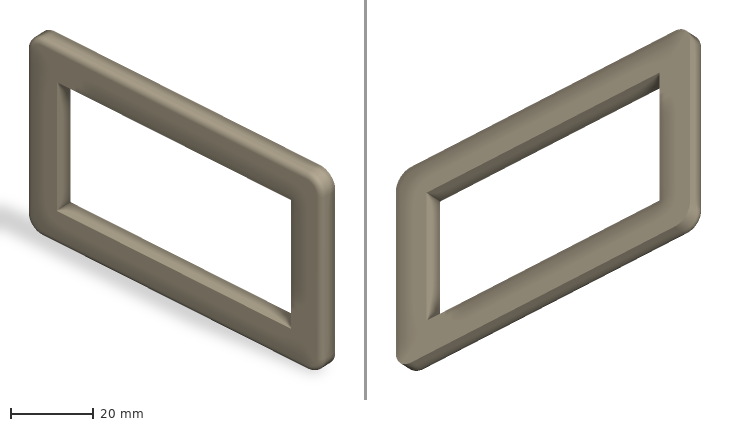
import cadquery as cq

width = 96.3
height = 58.2
thickness = 5.0
corner_radius = 5.0
front_edge_radius = 1.5

window_width = 76.3
window_height = 38.0

plate = cq.Workplane("XZ").box(width, height, thickness)
plate = plate.edges("|Y").fillet(corner_radius)

plate = plate.faces("<Y").edges().fillet(front_edge_radius)

window = cq.Workplane("XZ").box(window_width, window_height, thickness)

result = plate.cut(window)